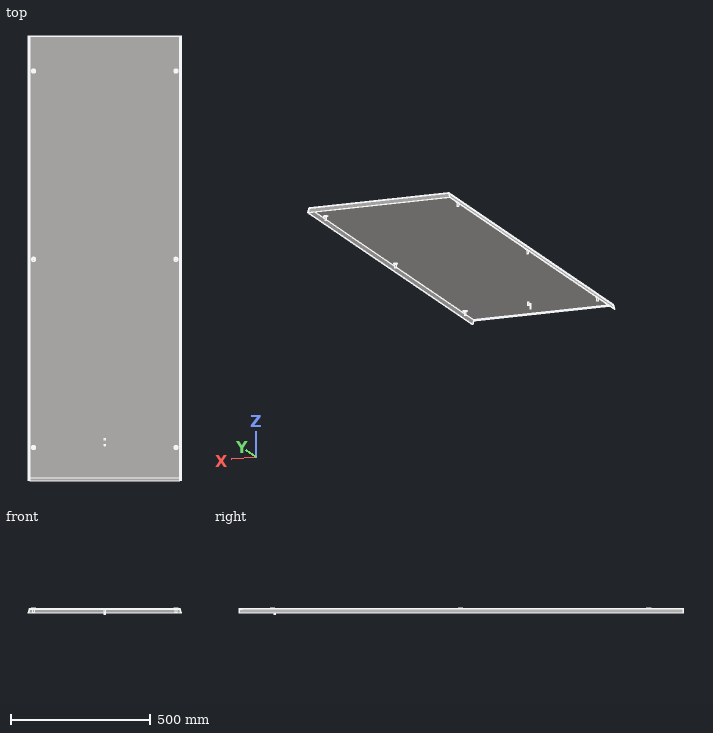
import cadquery as cq
import math

panel_length = 1596.0
panel_width = 550.0
overall_height = 22.0
panel_depth = 18.0
sheet = 1.9
wall_flare = 17.0

hem_width = 535.0
hem_return = 11.0
hem_overhang = 2.0

screw_x = 255.0
screw_pitch = 675.0
screw_shift = -2.4
screw_rows = (-1, 0, 1)
shank_diameter = 6.0
shank_length = 16.0
head_diameter = 15.2
head_height = 0.8
socket_diameter = 5.0
socket_depth = 3.0

long_stud_diameter = 5.0
short_stud_diameter = 6.0
long_stud_setback = 130.0
short_stud_setback = 150.0
short_stud_length = 13.0

front_y = -panel_length / 2
back_y = panel_length / 2
wall_front_y = front_y + hem_overhang
flare = math.radians(wall_flare)
bottom_half = panel_width / 2
wall_spread = (panel_depth - sheet) * math.tan(flare)
top_half = bottom_half - wall_spread
wall_run = sheet / math.cos(flare)
long_stud_length = overall_height - head_height
screw_places = [
    (side * screw_x, row * screw_pitch + screw_shift)
    for side in (-1, 1)
    for row in screw_rows
]


def run_along_y(outline, y_start, y_end):
    """Solid with a closed XZ outline, running from y_start to y_end."""
    section = cq.Workplane("XZ", origin=(0, y_start, 0)).polyline(outline).close()
    return section.extrude(y_start - y_end)


def make_sheet():
    """Square-edged top plate on two flared side walls and a back wall, open below and in front."""
    outside = [
        (-top_half, 0),
        (top_half, 0),
        (top_half, -sheet),
        (bottom_half, -panel_depth),
        (-bottom_half, -panel_depth),
        (-top_half, -sheet),
    ]
    inside = [
        (-top_half + wall_run, -sheet),
        (top_half - wall_run, -sheet),
        (bottom_half - wall_run, -panel_depth),
        (-bottom_half + wall_run, -panel_depth),
    ]
    shell = run_along_y(outside, wall_front_y, back_y)
    hollow = run_along_y(inside, wall_front_y, back_y - sheet)
    return shell.cut(hollow)


def make_hem():
    """Front lip: the plate edge carried forward and folded back flat underneath."""
    hem = cq.Workplane("XY").box(
        hem_width, hem_return, 2 * sheet, centered=(True, False, False)
    )
    return hem.translate((0, front_y, -2 * sheet))


def make_stud(diameter, setback, length):
    """Weld stud under the plate, on the centre line."""
    stud = cq.Workplane("XY").circle(diameter / 2).extrude(sheet - length)
    return stud.translate((0, front_y + setback, -sheet))


def make_panel():
    """Sheet, hem and weld studs as one body, pierced for the screw shanks."""
    panel = make_sheet().union(make_hem())
    panel = panel.union(make_stud(long_stud_diameter, long_stud_setback, long_stud_length))
    panel = panel.union(make_stud(short_stud_diameter, short_stud_setback, short_stud_length))
    holes = cq.Workplane("XY").pushPoints(screw_places).circle(shank_diameter / 2).extrude(-sheet)
    return panel.cut(holes)


def make_screw(place):
    """Screw with a thin round socket head on the plate and a shank through it."""
    head = cq.Workplane("XY").circle(head_diameter / 2).extrude(head_height)
    shank = cq.Workplane("XY").circle(shank_diameter / 2).extrude(-shank_length)
    socket = cq.Workplane("XY").circle(socket_diameter / 2).extrude(-socket_depth)
    socket = socket.translate((0, 0, head_height))
    return head.union(shank).cut(socket).translate((*place, 0))


panel = make_panel()
screws = [make_screw(place) for place in screw_places]

result = cq.Compound.makeCompound([panel.val(), *[screw.val() for screw in screws]])